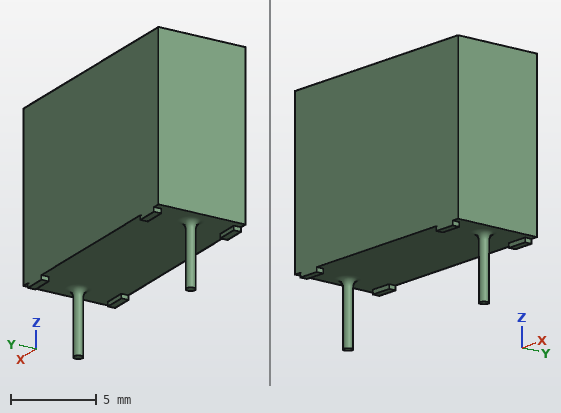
import cadquery as cq
import math


total_height = 15.5
case_length = 15.0
case_width = 6.0

foot_length = 1.5
foot_width = 0.5
foot_height = 0.3

lead_pitch = 12.5
lead_diameter = 0.6
lead_length_below_feet = 4.0
flare_radius = 0.5

case_height = total_height - lead_length_below_feet - foot_height
case_bottom = foot_height
lead_radius = lead_diameter / 2


def make_case():
    """Rectangular block above the feet."""
    return (
        cq.Workplane("XY", origin=(0, 0, case_bottom))
        .rect(case_length, case_width)
        .extrude(case_height)
    )


def make_feet():
    """A foot at each long side in line with each lead, flush with the side face."""
    foot_spacing_y = case_width - foot_width
    return (
        cq.Workplane("XY")
        .rarray(lead_pitch, foot_spacing_y, 2, 2)
        .rect(foot_length, foot_width)
        .extrude(foot_height)
    )


def make_lead(x):
    """Round lead with a concave flare where it meets the underside of the case."""
    flare_bottom = case_bottom - flare_radius
    flare_outer_radius = lead_radius + flare_radius
    arc_offset = flare_radius * math.cos(math.radians(45))
    arc_middle = (flare_outer_radius - arc_offset, flare_bottom + arc_offset)
    return (
        cq.Workplane("XZ")
        .moveTo(0, -lead_length_below_feet)
        .lineTo(lead_radius, -lead_length_below_feet)
        .lineTo(lead_radius, flare_bottom)
        .threePointArc(arc_middle, (flare_outer_radius, case_bottom))
        .lineTo(0, case_bottom)
        .close()
        .revolve(360, (0, 0, 0), (0, 1, 0))
        .translate((x, 0, 0))
    )


result = make_case().union(make_feet())
for lead_x in (-lead_pitch / 2, lead_pitch / 2):
    result = result.union(make_lead(lead_x))